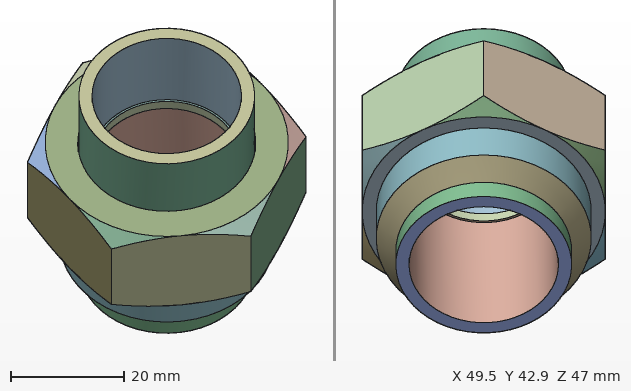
import cadquery as cq
import math

total_height = 47.0
spigot_top = 3.95
collar_bottom = 7.35
nut_bottom = 14.9
nut_top = 34.1
gasket_top = 30.0

across_corners = 49.55
flat_radius = across_corners / 2 * math.cos(math.radians(30))
chamfer_angle = 30.0
lip_thickness = 2.0
lip_clearance = 0.2

tube_radius = 15.5
bore_radius = 13.2
collar_radius = 18.95
gasket_bore_radius = 12.8
gasket_thickness = 2.0

gasket_bottom = gasket_top - gasket_thickness
lip_bottom = nut_top - lip_thickness


def cylinder(radius, bottom, top):
    return cq.Workplane("XY").workplane(offset=bottom).circle(radius).extrude(top - bottom)


def revolved(profile):
    """Turn a closed list of (radius, height) points around the Z axis."""
    return cq.Workplane("XZ").polyline(profile).close().revolve(360, (0, 0), (0, 1))


def make_nut():
    """Hexagonal nut with conical corner chamfers and a retaining lip at the top."""
    height = nut_top - nut_bottom
    corner_radius = across_corners / 2
    corner_drop = (corner_radius - flat_radius) * math.tan(math.radians(chamfer_angle))
    hexagon = cq.Workplane("XY").workplane(offset=nut_bottom).polygon(6, across_corners).extrude(height)
    chamfer_envelope = revolved([
        (0, nut_bottom),
        (flat_radius, nut_bottom),
        (corner_radius, nut_bottom + corner_drop),
        (corner_radius, nut_top - corner_drop),
        (flat_radius, nut_top),
        (0, nut_top),
    ])
    cavity = cylinder(collar_radius, nut_bottom, lip_bottom)
    lip_hole = cylinder(tube_radius + lip_clearance, lip_bottom, nut_top)
    return hexagon.intersect(chamfer_envelope).cut(cavity).cut(lip_hole)


def make_tailpiece():
    """Upper tube with a flange held under the lip of the nut."""
    return revolved([
        (bore_radius, gasket_top),
        (collar_radius, gasket_top),
        (collar_radius, lip_bottom),
        (tube_radius, lip_bottom),
        (tube_radius, total_height),
        (bore_radius, total_height),
    ])


def make_gasket():
    """Flat ring between tailpiece and lower body, projecting slightly into the bore."""
    ring = cylinder(collar_radius, gasket_bottom, gasket_top)
    return ring.cut(cylinder(gasket_bore_radius, gasket_bottom, gasket_top))


def make_lower_body():
    """Lower pipe end that widens through a cone to the collar inside the nut."""
    return revolved([
        (bore_radius, 0),
        (tube_radius, 0),
        (tube_radius, spigot_top),
        (collar_radius, collar_bottom),
        (collar_radius, gasket_bottom),
        (bore_radius, gasket_bottom),
    ])


nut = make_nut()
tailpiece = make_tailpiece()
gasket = make_gasket()
lower_body = make_lower_body()

result = cq.Compound.makeCompound([
    nut.val(),
    tailpiece.val(),
    gasket.val(),
    lower_body.val(),
])